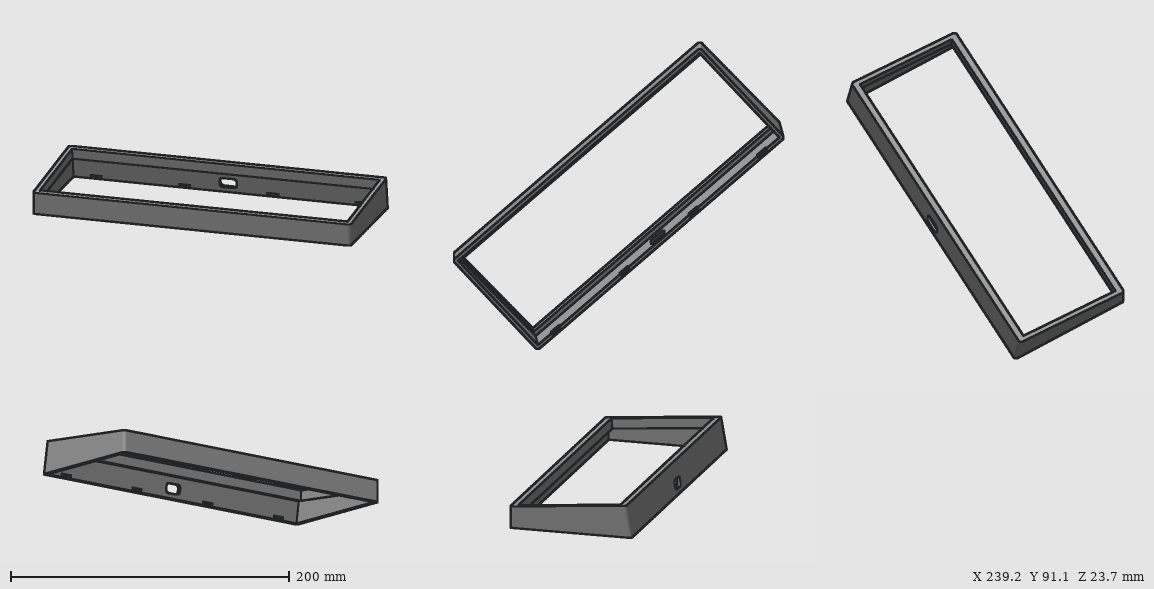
import cadquery as cq
import math

length = 239.2
depth = 91.1
back_height = 23.7
top_slope_angle = 5
top_slope = math.tan(math.radians(top_slope_angle))
back_lean_angle = 10
back_lean = math.tan(math.radians(back_lean_angle))
cavity_lean_angle = 8.5
cavity_lean = math.tan(math.radians(cavity_lean_angle))
corner_radius = 2.2

rim_side = 3.8
rim_front = 5.3
rim_back = 9.3
rim_depth = 7.7
wall_side = 2.9
wall_front = 2.9
wall_back = 2.9

port_width = 13.0
port_height = 7.2
port_radius = 2.5
port_center_z = 7.7
port_reach = 12.0

pad_count = 4
pad_pitch = 66.5
pad_width = 8.1
pad_height = 2.0
pad_thickness = 1.2
pocket_height = 2.5

front_y = -depth / 2
back_y = depth / 2
back_top_y = back_y - back_height * back_lean
inner_back_y = back_y - wall_back
beyond = 12.0


def top_z(y):
    """Height of the sloping top face at depth position y."""
    return back_height - (back_top_y - y) * top_slope


def side_prism(points, width):
    """Prism along X, centred on X = 0, from a (Y, Z) outline."""
    return cq.Workplane("YZ").polyline(points).close().extrude(width / 2, both=True)


def make_shell():
    outline = [
        (front_y, 0),
        (back_y, 0),
        (back_top_y, back_height),
        (front_y, top_z(front_y)),
    ]
    shell = side_prism(outline, length)
    shell = shell.edges("|Z").fillet(corner_radius)
    return shell.faces(">Y").edges("not |X").fillet(corner_radius)


def make_rim_opening():
    """Window square to the sloping top face."""
    near_y = front_y + rim_front
    far_y = back_y - rim_back
    points = [
        (near_y - beyond * top_slope, top_z(near_y) + beyond),
        (far_y - beyond * top_slope, top_z(far_y) + beyond),
        (far_y + beyond * top_slope, top_z(far_y) - beyond),
        (near_y + beyond * top_slope, top_z(near_y) - beyond),
    ]
    return side_prism(points, length - 2 * rim_side)


def make_cavity():
    """Lower cavity, its roof parallel to the top and its back leaning forward."""
    near_y = front_y + wall_front
    roof_drop = rim_depth / math.cos(math.atan(top_slope))
    roof_back_z = (top_z(inner_back_y) - roof_drop) / (1 + cavity_lean * top_slope)
    points = [
        (near_y, 0),
        (inner_back_y, 0),
        (inner_back_y - roof_back_z * cavity_lean, roof_back_z),
        (near_y, top_z(near_y) - roof_drop),
    ]
    return side_prism(points, length - 2 * wall_side)


def make_port():
    """Rounded opening square to the leaning back face."""
    port = cq.Workplane("XZ").rect(port_width, port_height).extrude(port_reach, both=True)
    port = port.edges("|Y").fillet(port_radius)
    outer_y = back_y - port_center_z * back_lean
    return port.rotate((0, 0, 0), (1, 0, 0), back_lean_angle).translate((0, outer_y, port_center_z))


def make_block(x, height, thickness):
    """Block standing on the base plane, its back against the pad seat in the back wall."""
    seat_y = inner_back_y + pad_thickness
    return cq.Workplane("XY").box(
        pad_width, thickness, height, centered=(True, False, False)
    ).translate((x, seat_y - thickness, 0))


def make_pad(x):
    return make_block(x, pad_height, pad_thickness)


def make_pocket(x):
    """Seat for a pad, open to the cavity and to the base."""
    return make_block(x, pocket_height, 2 * pad_thickness)


pad_positions = [(i - (pad_count - 1) / 2) * pad_pitch for i in range(pad_count)]

frame = make_shell().cut(make_cavity()).cut(make_rim_opening()).cut(make_port())
for position in pad_positions:
    frame = frame.cut(make_pocket(position))

pads = [make_pad(position) for position in pad_positions]

result = cq.Compound.makeCompound([frame.val(), *[pad.val() for pad in pads]])